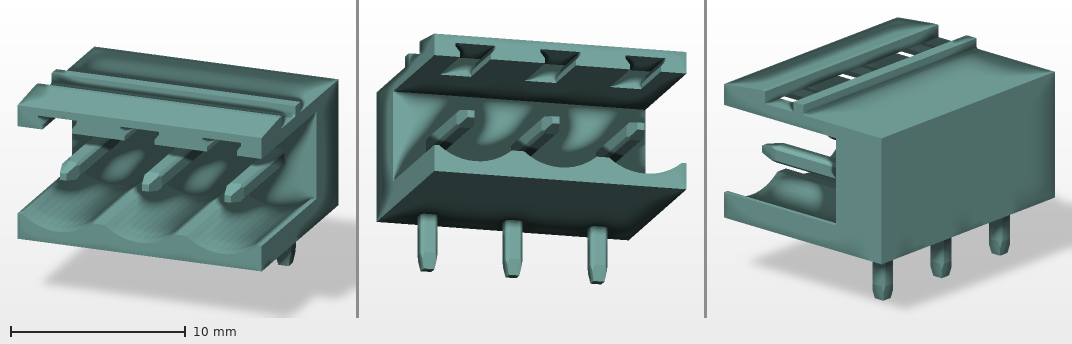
import cadquery as cq


WIDTH = 15.04
DEPTH = 12.0
SHELF_TOP = 7.67
BACK_WALL = 3.46
CAVITY_BACK = DEPTH - BACK_WALL
FLOOR_TOP = 1.55
ROOF_BOTTOM = 6.86

LIP_TOP = 8.42
LIP_FRONT_TOP = 8.14
LIP_BACK = 3.13
LIP_SLOPE_BACK = 2.8

RIB_FRONT = 5.28
RIB_THICKNESS = 0.77
RIB_BACK = RIB_FRONT + RIB_THICKNESS
RIB_TOP = 8.3
RIB_BASE_RADIUS = 0.1

CONTACT_COUNT = 3
PITCH = 5.07
CONTACT_XS = [(i - (CONTACT_COUNT - 1) / 2) * PITCH for i in range(CONTACT_COUNT)]

SCALLOP_WIDTH = 4.33
SCALLOP_DEPTH = 0.8

KEYWAY_WIDTH = 2.38
KEYWAY_NECK = 1.83
KEYWAY_LENGTH = 4.14
KEYWAY_SIDE_BOTTOM = 7.49
KEYWAY_NECK_TOP = 7.15

WIRE = 1.01
WIRE_DIAMETER = 1.2
PIN_Z = 3.79
PIN_Y = 9.94
MATING_TIP_Y = 0.92
MATING_TAPER = 1.28
MATING_TIP_WIDTH = 0.42
SOLDER_TIP_Z = -3.2
SOLDER_TAPER = 0.93
SOLDER_TIP_WIDTH = 0.65


def housing_block():
    """C-shaped side profile with the lip and the filleted rib, extruded across the width."""
    profile = [
        (0, 0),
        (DEPTH, 0),
        (DEPTH, SHELF_TOP),
        (RIB_BACK, SHELF_TOP),
        (RIB_BACK, RIB_TOP),
        (RIB_FRONT, RIB_TOP),
        (RIB_FRONT, SHELF_TOP),
        (LIP_BACK, SHELF_TOP),
        (LIP_BACK, LIP_TOP),
        (LIP_SLOPE_BACK, LIP_TOP),
        (0, LIP_FRONT_TOP),
        (0, ROOF_BOTTOM),
        (CAVITY_BACK, ROOF_BOTTOM),
        (CAVITY_BACK, FLOOR_TOP),
        (0, FLOOR_TOP),
    ]
    block = cq.Workplane("YZ").polyline(profile).close().extrude(WIDTH / 2, both=True)
    for rib_side in (RIB_FRONT, RIB_BACK):
        rib_base = cq.selectors.NearestToPointSelector((0, rib_side, SHELF_TOP))
        block = block.edges(rib_base).fillet(RIB_BASE_RADIUS)
    return block


def scallop(x):
    """Shallow arc-shaped trough in the lower arm, as deep as the cavity."""
    half_width = SCALLOP_WIDTH / 2
    return (
        cq.Workplane("XZ")
        .moveTo(x - half_width, FLOOR_TOP)
        .threePointArc((x, FLOOR_TOP - SCALLOP_DEPTH), (x + half_width, FLOOR_TOP))
        .close()
        .extrude(-CAVITY_BACK)
    )


def keyway(x):
    """Dovetail slot through the upper arm, from the mating face to behind the lip."""
    half_width = KEYWAY_WIDTH / 2
    half_neck = KEYWAY_NECK / 2
    outline = [
        (x - half_neck, ROOF_BOTTOM),
        (x + half_neck, ROOF_BOTTOM),
        (x + half_neck, KEYWAY_NECK_TOP),
        (x + half_width, KEYWAY_SIDE_BOTTOM),
        (x + half_width, SHELF_TOP),
        (x - half_width, SHELF_TOP),
        (x - half_width, KEYWAY_SIDE_BOTTOM),
        (x - half_neck, KEYWAY_NECK_TOP),
    ]
    return cq.Workplane("XZ").polyline(outline).close().extrude(-KEYWAY_LENGTH)


def wire_bar(plane, length):
    """Straight bar with the wire's section: a square with its corners cut by a circle."""
    square_bar = cq.Workplane(plane).rect(WIRE, WIRE).extrude(length)
    round_bar = cq.Workplane(plane).circle(WIRE_DIAMETER / 2).extrude(length)
    return square_bar.intersect(round_bar)


def pin_leg(corner, direction, length, taper, tip_width):
    """Bar from the pin's corner, with four flats tapering to a square tip."""
    plane = cq.Plane(origin=corner, xDir=(1, 0, 0), normal=direction)
    envelope = (
        cq.Workplane(plane)
        .rect(WIRE, WIRE)
        .extrude(length - taper)
        .faces(cq.selectors.DirectionMinMaxSelector(plane.zDir))
        .workplane()
        .rect(WIRE, WIRE)
        .workplane(offset=taper)
        .rect(tip_width, tip_width)
        .loft(combine=True)
    )
    return wire_bar(plane, length).intersect(envelope)


def contact_pin(x):
    """L-shaped pin: mating leg toward the front, solder leg down, square outer corner."""
    half_wire = WIRE / 2
    mating_leg = pin_leg(
        (x, PIN_Y + half_wire, PIN_Z), (0, -1, 0),
        PIN_Y + half_wire - MATING_TIP_Y, MATING_TAPER, MATING_TIP_WIDTH,
    )
    solder_leg = pin_leg(
        (x, PIN_Y, PIN_Z + half_wire), (0, 0, -1),
        PIN_Z + half_wire - SOLDER_TIP_Z, SOLDER_TAPER, SOLDER_TIP_WIDTH,
    )
    return mating_leg.union(solder_leg)


pins = [contact_pin(x) for x in CONTACT_XS]

housing = housing_block()
for contact_x, pin in zip(CONTACT_XS, pins):
    housing = housing.cut(scallop(contact_x))
    housing = housing.cut(keyway(contact_x))
    housing = housing.cut(pin)

result = cq.Compound.makeCompound([housing.val(), *[pin.val() for pin in pins]])